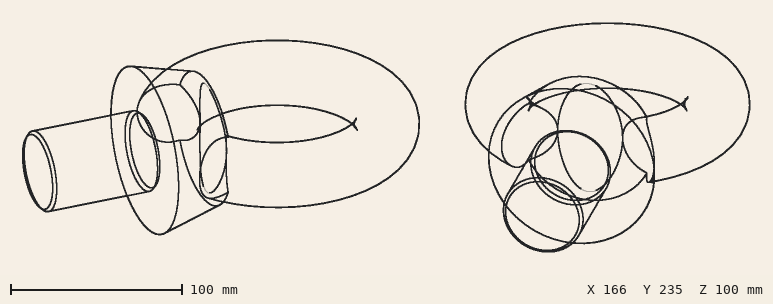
import cadquery as cq
import math

shank_diameter = 48.0
shank_length = 68.0
end_chamfer = 1.8
neck_length = 2.2
neck_depth = 1.8

ring_outer_diameter = 166.0
ring_bar_diameter = 38.0
ring_top = 167.0

collar_diameter = 100.0
rim_diameter = 80.0
rim_height = 37.6
crown_slope = 16.0

ring_centre = ring_top - ring_outer_diameter / 2
ring_path_radius = (ring_outer_diameter - ring_bar_diameter) / 2
eye_radius = ring_outer_diameter / 2 - ring_bar_diameter
collar_radius = collar_diameter / 2
rim_radius = rim_diameter / 2
crown_apex = rim_height + rim_radius * math.tan(math.radians(crown_slope))


def revolve_about_bolt_axis(half_profile):
    """Turn a closed (radius, Y) outline into a solid around the Y axis."""
    return (
        cq.Workplane("XY")
        .polyline(half_profile)
        .close()
        .revolve(360, (0, 0, 0), (0, 1, 0))
    )


def make_shank():
    """Plain shank with a conical neck under the seat and a chamfered end."""
    radius = shank_diameter / 2
    return revolve_about_bolt_axis([
        (0, 0),
        (radius - neck_depth, 0),
        (radius, -neck_length),
        (radius, -shank_length + end_chamfer),
        (radius - end_chamfer, -shank_length),
        (0, -shank_length),
    ])


def make_collar():
    """Tapered collar with a conical crown, hollowed by the round eye."""
    body = revolve_about_bolt_axis([
        (0, 0),
        (collar_radius, 0),
        (rim_radius, rim_height),
        (0, crown_apex),
    ])
    eye = (
        cq.Workplane("XY")
        .center(0, ring_centre)
        .circle(eye_radius)
        .extrude(collar_radius, both=True)
    )
    return body.cut(eye)


def make_ring():
    """Round-bar ring around the eye, swept from inside the collar."""
    bar_radius = ring_bar_diameter / 2
    lowest_bar_centre = ring_centre - ring_path_radius
    return (
        cq.Workplane("YZ")
        .center(lowest_bar_centre, 0)
        .circle(bar_radius)
        .revolve(360, (ring_path_radius, 0, 0), (ring_path_radius, 1, 0))
    )


result = make_collar().union(make_ring()).union(make_shank())